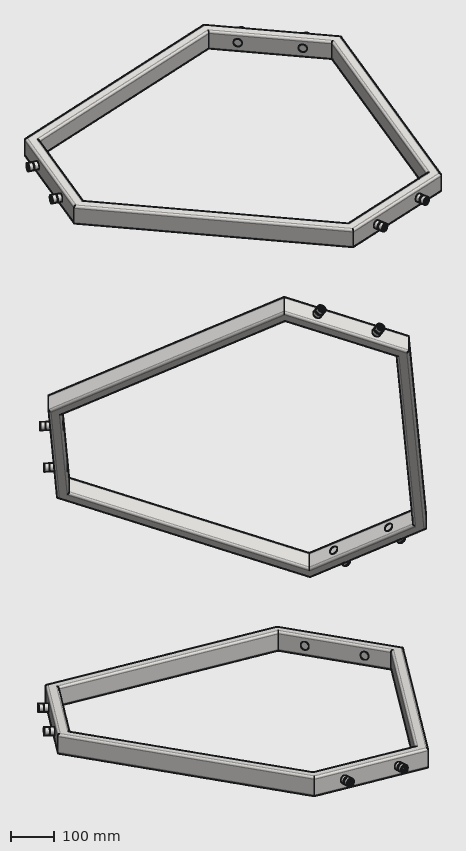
import cadquery as cq
import math

OVERALL_WIDTH = 964.0
SHORT_SIDE = 318.0
LONG_SIDE = OVERALL_WIDTH - SHORT_SIDE
BAR_WIDTH = 30.0
BAR_HEIGHT = 50.0
BAR_EDGE_RADIUS = 6.0

SHORT_SIDE_COUNT = 3
STUD_SPACING = 150.0
STUD_DIAMETER = 20.0
STUD_LENGTH = 24.0
GROOVE_START = 11.0
GROOVE_WIDTH = 1.0
GROOVE_DIAMETER = 15.0
BORE_DIAMETER = 6.7
BORE_DEPTH = 14.0
COUNTERBORE_DIAMETER = 15.0
COUNTERBORE_DEPTH = 2.0

RECESS_DIAMETER = STUD_DIAMETER
RECESS_DEPTH = 1.0

SHORT_SIDE_DISTANCE = (SHORT_SIDE + 2 * LONG_SIDE) / (2 * math.sqrt(3))
SIDE_TURN = 360 / SHORT_SIDE_COUNT


def outer_corners():
    """Corners of the ring: the ends of the three short sides, counterclockwise."""
    corner_distance = math.hypot(SHORT_SIDE / 2, SHORT_SIDE_DISTANCE)
    half_angle = math.atan2(SHORT_SIDE / 2, SHORT_SIDE_DISTANCE)
    corners = []
    for side in range(SHORT_SIDE_COUNT):
        side_angle = math.radians(-90 + side * SIDE_TURN)
        for angle in (side_angle - half_angle, side_angle + half_angle):
            corners.append((corner_distance * math.cos(angle), corner_distance * math.sin(angle)))
    return corners


def make_frame():
    """Solid-bar ring centred on the XY plane, with all long edges rounded."""
    base = cq.Workplane("XY", origin=(0, 0, -BAR_HEIGHT / 2))
    plate = base.polyline(outer_corners()).close().extrude(BAR_HEIGHT)
    opening = (
        base.polyline(outer_corners()).close()
        .offset2D(-BAR_WIDTH, "intersection")
        .extrude(BAR_HEIGHT)
    )
    ring = plate.cut(opening)
    return ring.faces("|Z").edges().fillet(BAR_EDGE_RADIUS)


def outward_cylinder(x, start, length, diameter):
    """Cylinder pointing along -Y, starting at the given distance from the frame centre."""
    plane = cq.Plane(origin=(x, -start, 0), xDir=(1, 0, 0), normal=(0, -1, 0))
    return cq.Workplane(plane).circle(diameter / 2).extrude(length)


def make_stud(x):
    """Grooved, bored stud on the short side that faces -Y."""
    face = SHORT_SIDE_DISTANCE
    tip = face + STUD_LENGTH
    sink = BAR_WIDTH / 2
    body = outward_cylinder(x, face - sink, sink + STUD_LENGTH, STUD_DIAMETER)
    groove = outward_cylinder(x, face + GROOVE_START, GROOVE_WIDTH, STUD_DIAMETER).cut(
        outward_cylinder(x, face + GROOVE_START, GROOVE_WIDTH, GROOVE_DIAMETER)
    )
    bore = outward_cylinder(x, tip - BORE_DEPTH, BORE_DEPTH, BORE_DIAMETER)
    counterbore = outward_cylinder(x, tip - COUNTERBORE_DEPTH, COUNTERBORE_DEPTH, COUNTERBORE_DIAMETER)
    return body.cut(groove).cut(bore).cut(counterbore)


def make_recess(x):
    """Cutter for the recess behind a stud on the short side that faces -Y."""
    inner_face = SHORT_SIDE_DISTANCE - BAR_WIDTH
    return outward_cylinder(x, inner_face, RECESS_DEPTH, RECESS_DIAMETER)


def turn_to_side(shape, side):
    """Carry a shape from the -Y short side to another short side."""
    return shape.rotate((0, 0, 0), (0, 0, 1), side * SIDE_TURN)


result = make_frame()
for side in range(SHORT_SIDE_COUNT):
    for x in (-STUD_SPACING / 2, STUD_SPACING / 2):
        result = result.union(turn_to_side(make_stud(x), side))
        result = result.cut(turn_to_side(make_recess(x), side))